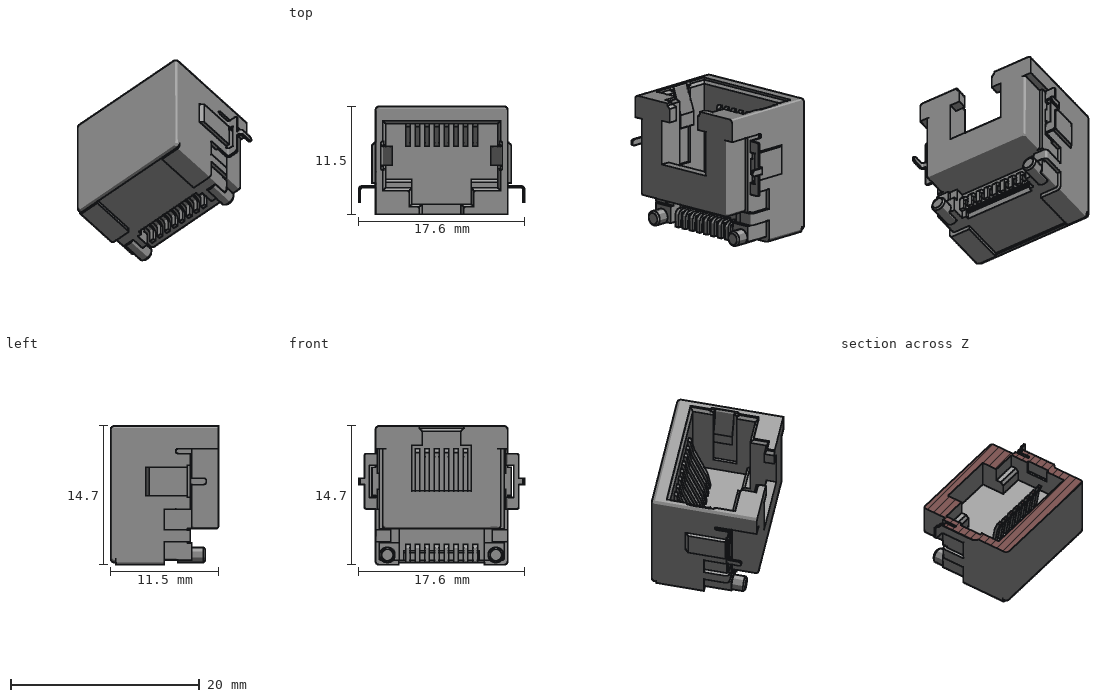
import cadquery as cq


overlap = 0.09
full_round = 0.49

half_width = 7.0
depth = 11.45
height = 14.7
shell_wall = 0.39
sheet = 0.2
shell_round = 0.42
shell_bottom = 0.25
core_half = half_width - shell_wall
sheet_inner = half_width - sheet
core_bottom = 0.5
core_round = 0.25
flap_inner = 4.53
flap_back = 10.86

step_y = 2.83
brow_bottom = 12.27
housing_half = 6.25
housing_bottom = 3.83
housing_round = 0.32

cavity_half = 5.91
cavity_back = 9.58
cavity_floor = 4.33
throat_half = 3.16
latch_half = 2.04
front_wall = 1.07
window_bottom = 7.83
window_top = 12.65
lead_in = 0.32
throat_lead_in = 0.25
mouth_round = 0.25
lead_in_top = 14.46
rib_back = 3.7
rib_height = 1.5

finger_front = 5.2
finger_back = 7.21
finger_tip_x = 5.21
finger_bend_z = 11.74
finger_tip_z = 10.27
finger_root_x = 6.42
finger_bend = 0.26
finger_root_z = height - 0.1
pocket_margin = 0.35
pocket_half = 6.18
pocket_bottom = 6.0
relief_radius = 0.26
relief_depth = 0.35

ear_half = 8.18
ear_bottom = 5.9
ear_top = 11.78
ear_mid = (ear_bottom + ear_top) / 2
ear_corner = 0.25
ear_bend = 0.18
ear_window_half = 7.62
ear_window_height = 3.39
ear_window_bottom = ear_mid - ear_window_height / 2
ear_window_top = ear_mid + ear_window_height / 2
tab_x = 8.78
tab_end_y = 1.3
tab_width = 0.68
latch_y = 3.32

bump_half = 7.37
bump_back = 7.7
bump_height = 3.02
neck_height = 1.68

slot_end_y = 4.53
side_cut_y = 5.74
clamp_bottom = 2.44
clamp_top = 3.7
clamp_inner = 5.37
clamp_front = 3.0
clamp_gap = 0.12
clamp_round = 0.39
foot_inner = 4.5

post_x = 5.74
post_z = 1.05
post_radius = 0.8
post_tip_y = 1.42
post_root_y = 4.33
post_chamfer = 0.2

contact_count = 8
contact_pitch = 1.02
contact_width = 0.5
contact_thickness = 0.35
tip_y, tip_z = 9.27, 11.85
kink_y, kink_z = 8.97, 10.27
knee_y, knee_z = 7.55, 6.42
foot_y, foot_z = 7.2, cavity_floor - overlap
tail_front = step_y
tail_bottom = 0.25
tail_bend_z = 1.51
tail_round = 0.67
tail_wall_y = post_root_y
tail_pocket_half = 4.0
tail_pocket_top = 1.47
tail_pocket_step = 0.21


def block(x0, x1, y0, y1, z0, z1):
    """Axis-aligned box between two corners."""
    return cq.Workplane("XY").box(x1 - x0, y1 - y0, z1 - z0, centered=False).translate((x0, y0, z0))


def centred_block(half, y0, y1, z0, z1):
    return block(-half, half, y0, y1, z0, z1)


def both_sides(shape):
    """The shape together with its mirror image about the YZ plane."""
    return shape.union(shape.mirror("YZ"))


def make_shell():
    """Outer block, stepped back above the board, with two bottom flaps."""
    body = centred_block(half_width, 0, depth, shell_bottom, height)
    body = body.edges("|Y or >Y").fillet(shell_round)
    body = body.cut(centred_block(half_width, 0, step_y, 0, brow_bottom))
    body = body.cut(centred_block(half_width, step_y, flap_back, 0, core_bottom))
    flap = block(flap_inner, half_width, side_cut_y, flap_back, 0, 2 * core_bottom)
    flap = flap.edges("|Y and >X and <Z").fillet(shell_round)
    return body.union(both_sides(flap))


def make_side_openings():
    """Cuts in the shell around the ear and the clamp, with the gap behind the ear sheet, right side."""
    outside = half_width + overlap

    def side_block(inner, y1, z0, z1):
        return block(inner, outside, step_y, y1, z0, z1)

    slot = side_block(sheet_inner, slot_end_y, ear_top, brow_bottom)
    slot = slot.edges("|X and >Y").fillet(full_round * (brow_bottom - ear_top))
    parts = [
        side_block(sheet_inner, step_y + sheet + ear_bend, ear_bottom, ear_top),
        side_block(sheet_inner, latch_y, ear_window_bottom, ear_window_top),
        side_block(core_half, side_cut_y, clamp_top, ear_bottom),
        side_block(core_half, side_cut_y, 0, clamp_bottom),
        side_block(core_half, clamp_front + clamp_round, clamp_bottom, clamp_top),
        block(foot_inner, outside, step_y, latch_y, clamp_bottom - clamp_gap, housing_bottom),
    ]
    neck_low = ear_mid - neck_height / 2
    neck = block(core_half, sheet_inner, latch_y, slot_end_y, neck_low, neck_low + neck_height)
    sheet_gap = block(core_half, sheet_inner, step_y, slot_end_y, ear_bottom, brow_bottom).cut(neck)
    openings = slot.union(sheet_gap)
    for part in parts:
        openings = openings.union(part)
    return openings


def make_core_edges():
    """Rounding of the lower side edges of the plastic feet, right side."""
    foot = block(core_half - core_round, core_half, step_y, side_cut_y, core_bottom, core_bottom + core_round)
    bar = cq.Workplane("XZ").center(core_half - core_round, core_bottom + core_round)
    bar = bar.circle(core_round).extrude(-depth)
    return foot.cut(bar)


def make_tail_recess():
    """Space between the two feet for the contact tails, with a stepped pocket behind them."""
    recess = centred_block(foot_inner, step_y, tail_wall_y, 0, housing_bottom)
    for level in (1, 2):
        back = tail_wall_y + level * tail_pocket_step
        top = tail_pocket_top - (level - 1) * tail_pocket_step
        recess = recess.union(centred_block(tail_pocket_half, tail_wall_y, back, 0, top))
    return recess


def make_housing():
    housing = centred_block(housing_half, 0, step_y, housing_bottom, brow_bottom)
    return housing.edges("(<Y and (not >Z)) or (|Y and <Z)").fillet(housing_round)


def opening_corners(flared):
    """Corners of the right half of the stepped plug opening, at the throat or at the flared mouth."""
    grow = lead_in if flared else 0
    throat_grow = throat_lead_in if flared else 0
    x_wide, x_mid, x_latch = cavity_half + grow, throat_half + throat_grow, latch_half + grow
    y_back, y_wide, y_mid = cavity_back + grow, step_y - grow, front_wall - throat_grow
    return [
        (x_latch, -grow),
        (x_latch, y_mid),
        (x_mid, y_mid),
        (x_mid, y_wide),
        (x_wide, y_wide),
        (x_wide, y_back),
    ]


def opening_outline(workplane, flared):
    right = opening_corners(flared)
    left = [(-x, y) for x, y in reversed(right)]
    return workplane.polyline(right + left).close()


def make_mouth():
    """Straight upper part of the opening, its inward corners rounded."""
    tall = height - lead_in_top
    mouth = opening_outline(cq.Workplane("XY").workplane(offset=lead_in_top), True).extrude(tall)
    corners = opening_corners(True)
    for x, y in (corners[1], corners[3]):
        for side in (-1, 1):
            edge = cq.selectors.NearestToPointSelector((side * x, y, lead_in_top + tall / 2))
            mouth = mouth.edges("|Z").edges(edge).fillet(mouth_round)
    return mouth


def make_cavity():
    throat_top = lead_in_top - lead_in
    main = centred_block(cavity_half, step_y, cavity_back, cavity_floor, throat_top)
    main = main.union(centred_block(throat_half, front_wall, step_y, cavity_floor, throat_top))
    window = centred_block(throat_half, 0, front_wall, window_bottom, window_top)
    latch_slot = centred_block(latch_half, 0, front_wall, window_top, throat_top)
    taper = opening_outline(cq.Workplane("XY").workplane(offset=throat_top), False)
    taper = opening_outline(taper.workplane(offset=lead_in), True).loft(ruled=True)
    return main.union(window).union(latch_slot).union(taper).union(make_mouth())


def make_rib():
    """Low rib on the cavity floor behind the front wall, right side."""
    rib = block(throat_half, cavity_half, step_y, rib_back, cavity_floor, cavity_floor + rib_height)
    return rib.edges("|X and >Y and >Z").chamfer(lead_in)


def make_finger_pocket():
    """Pocket behind a spring finger and the round reliefs beside its root, right side."""
    front, back = finger_front - pocket_margin, finger_back + pocket_margin / 2
    pocket = block(cavity_half, pocket_half, front, back, pocket_bottom, height)
    root = block(cavity_half, finger_root_x, finger_front, finger_back, finger_root_z - finger_bend, height)
    relief_centres = [(pocket_half, finger_front - relief_radius), (pocket_half, finger_back + relief_radius)]
    reliefs = cq.Workplane("XY").workplane(offset=height - relief_depth).pushPoints(relief_centres)
    return pocket.union(root).union(reliefs.circle(relief_radius).extrude(relief_depth))


def make_finger():
    """Sheet spring finger leaning inward from the rim, right side."""
    root_inner = finger_root_x - finger_bend
    root_end = finger_root_z - finger_bend
    finger = (
        cq.Workplane("XZ")
        .moveTo(finger_root_x, finger_root_z)
        .radiusArc((root_inner, root_end), -finger_bend)
        .lineTo(finger_tip_x, finger_bend_z)
        .lineTo(finger_tip_x, finger_tip_z)
        .lineTo(finger_tip_x + sheet, finger_tip_z)
        .lineTo(finger_tip_x + sheet, finger_bend_z)
        .lineTo(finger_root_x, root_end - finger_bend)
        .close()
        .extrude(finger_front - finger_back)
    )
    return finger.translate((0, finger_front, 0))


def make_ear():
    """Bent solder ear with its window and board tab, right side."""
    front, back = step_y, step_y + sheet
    outer_bend = ear_bend + sheet
    plate = (
        cq.Workplane("XY")
        .moveTo(sheet_inner, back + outer_bend)
        .lineTo(sheet_inner, front + outer_bend)
        .radiusArc((sheet_inner + outer_bend, front), -outer_bend)
        .lineTo(ear_half, front)
        .lineTo(ear_half, back)
        .lineTo(half_width + ear_bend, back)
        .radiusArc((half_width, back + ear_bend), ear_bend)
        .lineTo(half_width, back + outer_bend)
        .close()
        .extrude(ear_top - ear_bottom)
        .translate((0, 0, ear_bottom))
    )
    plate = plate.edges("|Y and >X").fillet(ear_corner)
    plate = plate.cut(block(0, ear_window_half, 0, depth, ear_window_bottom, ear_window_top))

    tab_low = ear_mid - tab_width / 2
    tab = block(ear_window_half + ear_corner, tab_x, tab_end_y, back, tab_low, tab_low + tab_width)
    tab = tab.edges("|Z and >X and >Y").fillet(outer_bend)
    tab = tab.edges("|X and <Y").fillet(full_round * tab_width)
    inside = block(0, tab_x - sheet, 0, front, tab_low, tab_low + tab_width)
    inside = inside.edges("|Z and >X and >Y").fillet(ear_bend)
    return plate.union(tab.cut(inside))


def make_bump():
    """Raised latch bump with a sloped back end, right side."""
    low = ear_mid - bump_height / 2
    bump = block(sheet_inner, bump_half, latch_y, bump_back, low, low + bump_height)
    return bump.edges("|Z and >X and >Y").chamfer(bump_half - half_width)


def make_clamp():
    """Sheet tongue folded over the front of the plastic foot, right side."""
    clamp = block(clamp_inner, half_width, clamp_front, latch_y + shell_wall, clamp_bottom, clamp_top)
    return clamp.edges("|Z and >X and <Y").fillet(clamp_round)


def make_post():
    post = cq.Workplane("XZ").center(post_x, post_z).circle(post_radius).extrude(post_tip_y - post_root_y)
    post = post.translate((0, post_tip_y, 0))
    return post.faces("<Y").chamfer(post_chamfer)


def make_contact_blade():
    """Sprung blade leaning from the back wall down to the cavity floor."""
    blade = (
        cq.Workplane("YZ")
        .moveTo(cavity_back + overlap, brow_bottom)
        .lineTo(cavity_back, brow_bottom)
        .radiusArc((tip_y, tip_z), -contact_thickness)
        .lineTo(kink_y, kink_z)
        .lineTo(knee_y, knee_z)
        .lineTo(foot_y, foot_z)
        .lineTo(foot_y + contact_thickness, foot_z)
        .lineTo(knee_y + contact_thickness, knee_z)
        .lineTo(kink_y + contact_thickness, kink_z)
        .lineTo(cavity_back + overlap, tip_z)
        .close()
    )
    return blade.extrude(contact_width / 2, both=True)


def make_contact_tail():
    """Solder tail that leaves the rear wall and bends down along the board."""
    tail_top = tail_bend_z + tail_round
    tail = (
        cq.Workplane("YZ")
        .moveTo(tail_wall_y, tail_top)
        .lineTo(tail_front + tail_round, tail_top)
        .radiusArc((tail_front, tail_bend_z), -tail_round)
        .lineTo(tail_front, tail_bottom)
        .lineTo(tail_front + contact_thickness, tail_bottom)
        .lineTo(tail_front + contact_thickness, tail_bend_z)
        .radiusArc((tail_front + tail_round, tail_top - contact_thickness), tail_round - contact_thickness)
        .lineTo(tail_wall_y, tail_top - contact_thickness)
        .close()
    )
    return tail.extrude(contact_width / 2, both=True)


body = make_shell()
body = body.cut(both_sides(make_side_openings()))
body = body.cut(both_sides(make_core_edges()))
body = body.cut(make_tail_recess())
body = body.union(make_housing())
body = body.cut(make_cavity())
body = body.cut(both_sides(make_finger_pocket()))

for feature in (make_rib, make_finger, make_ear, make_bump, make_clamp, make_post):
    body = body.union(both_sides(feature()))

contact = make_contact_blade().union(make_contact_tail())
for index in range(contact_count):
    contact_x = (index - (contact_count - 1) / 2) * contact_pitch
    body = body.union(contact.translate((contact_x, 0, 0)))

result = body